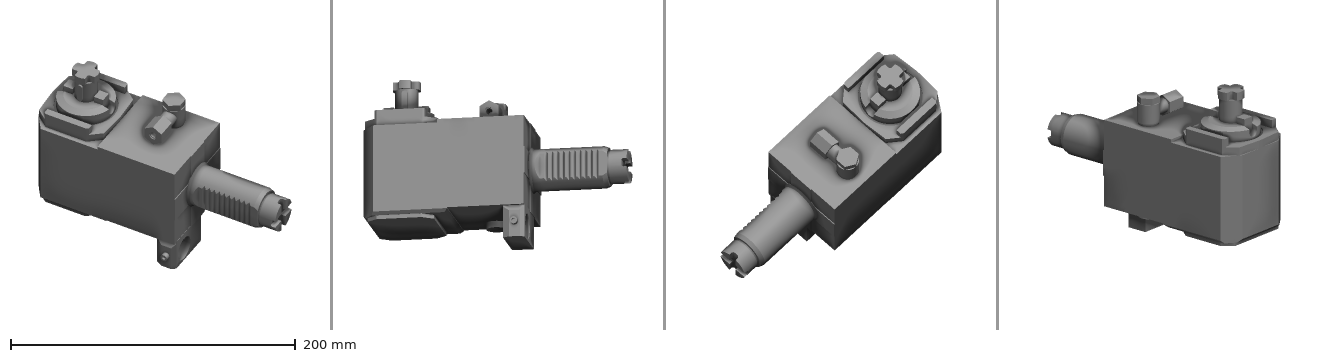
import cadquery as cq
import math


OVERALL_LENGTH = 186.5
BODY_LEFT = -27.5
BODY_RIGHT = 89.5
BODY_HALF_WIDTH = 32.5
BODY_TOP = 32.3
BODY_BOTTOM = -BODY_TOP
NOSE_HALF_WIDTH = 19.5
CORNER_LENGTH = 9.1
HEAD_SEAT_Z = 29.8
FLANGE_X = 90.0
FLANGE_CROSS_WIDTH = 19.2
FOOT_RIGHT = 34.7
FOOT_BOTTOM = -35.0
FOOT_CHAMFER = 2.2

BASE_HALF_LENGTH = 23.9
BASE_HALF_WIDTH = 30.0
BASE_CORNER_X = 16.0
BASE_CORNER_Y = 23.9
BASE_BOTTOM = -37.9

COVER_TOP = 35.8
COVER_CREST_X = 27.5
COVER_CREST_HALF_WIDTH = 1.9
COVER_SIDE_X = 26.1
COVER_SIDE_Y = 21.0
COVER_END_X = 16.5
COVER_HALF_WIDTH = 29.0
BAR_HALF_LENGTH = 17.9
BAR_INNER_Y = 23.5
BAR_TOP = 41.8

CLEARANCE_RADIUS = 22.8
CLEARANCE_DEPTH = 1.0
NUT_RADIUS = 21.0
NUT_FLAT_Y = 19.0
NUT_LIP_BOTTOM = 42.3
NUT_LIP_TOP = 43.0
NUT_CONE_RADIUS = 15.9
NUT_TOP = 44.8
KEY_WIDTH = 8.2
KEY_INNER_X = 8.5
KEY_OUTER_X = 16.0
KEY_TOP = 49.6
KEY_BOTTOM = 36.7

SPINDLE_RADIUS = 8.2
CROSS_BOTTOM = 62.0
SPINDLE_TOP = 67.9
CROSS_RADIUS = 9.9
CROSS_ARM_WIDTH = 8.2
CROSS_FILLET = 1.3
FEATHER_WIDTH = 4.0
FEATHER_BOTTOM = 45.7
FEATHER_TOP = 60.2
FEATHER_Y = -9.5

SHANK_RADIUS = 15.0
SHANK_END = 145.1
SHANK_CHAMFER_LENGTH = 3.2
SHANK_CHAMFER_HEIGHT = 1.1
COLLAR_RADIUS = 16.5
COLLAR_LENGTH = 1.5
FLAT_Y = -12.0
FLAT_START = 97.0
GROOVE_COUNT = 10
GROOVE_DEPTH = 1.5
FIRST_GROOVE_X = 101.6
LAST_GROOVE_X = 137.6
GROOVE_PITCH = (LAST_GROOVE_X - FIRST_GROOVE_X) / (GROOVE_COUNT - 1)

NECK_RADIUS = 11.5
COUPLING_START = 146.4
COUPLING_END = BODY_LEFT + OVERALL_LENGTH
COUPLING_RADIUS = 12.1
COUPLING_SLOT_WIDTH = 6.0
COUPLING_SLOT_DEPTH = 3.5
COUPLING_SLOT_CHAMFER = 1.0

ELBOW_X = 61.0
ELBOW_Y = 17.5
ELBOW_RADIUS = 8.0
ELBOW_BOTTOM = 34.1
ELBOW_TOP = 48.5
ELBOW_FOOT_RADIUS = 7.3
BOLT_FLATS = 14.2
BOLT_TOP = 53.2
PLUG_BOTTOM = -37.0
ARM_Z = 41.5
ARM_RADIUS = 5.6
ARM_NUT_FLATS = 13.6
ARM_NUT_START_Y = 2.2
ARM_NUT_END_Y = -12.5
ARM_BORE_RADIUS = 2.2
ARM_MOUTH_RADIUS = 3.0
ARM_MOUTH_DEPTH = 0.7
ARM_BORE_DEPTH = 11.2

BRACKET_LEFT = 74.2
BRACKET_RIGHT = 89.7
BRACKET_INNER_Y = 5.5
BRACKET_BOTTOM = -55.5
BRACKET_BEVEL_DEPTH = 2.5
BRACKET_FACE_LEFT = 78.9
BRACKET_FACE_RIGHT = 87.0
BRACKET_FACE_TOP = -36.5
BRACKET_BEVEL_TOP = -33.0
BRACKET_HOLE_Y = -18.8
BRACKET_HOLE_Z = -45.1
BRACKET_HOLE_RADIUS = 9.0
SCREW_X = 82.8
SCREW_Z = -44.5
SCREW_RADIUS = 2.6
SCREW_END_Y = -36.0
SCREW_TIP = 1.7
SCREW_SOCKET_RADIUS = 1.3
SCREW_SOCKET_DEPTH = 1.5

OVERLAP = 1.0


def block(x_range, y_range, z_range):
    """Box between two limits on each axis."""
    (x0, x1), (y0, y1), (z0, z1) = x_range, y_range, z_range
    return cq.Workplane("XY").box(x1 - x0, y1 - y0, z1 - z0, centered=False).translate((x0, y0, z0))


def post(radius, bottom, top, x=0.0, y=0.0):
    """Upright cylinder between two heights."""
    return cq.Workplane("XY", origin=(x, y, bottom)).circle(radius).extrude(top - bottom)


def rod_along_y(radius, x, z, y_start, y_end):
    """Cylinder along Y between two places."""
    return cq.Workplane("XZ", origin=(x, y_start, z)).circle(radius).extrude(y_start - y_end)


def prism(points, bottom, top):
    """Upright prism over a closed outline."""
    return cq.Workplane("XY", origin=(0, 0, bottom)).polyline(points).close().extrude(top - bottom)


def mirrored_outline(quarter):
    """Closed outline from its first-quadrant points, listed counter-clockwise."""
    right_half = [(x, -y) for x, y in reversed(quarter)] + quarter
    return right_half + [(-x, -y) for x, y in right_half]


def make_body():
    corner_x = BODY_LEFT + CORNER_LENGTH
    outline = [
        (BODY_LEFT, -NOSE_HALF_WIDTH),
        (corner_x, -BODY_HALF_WIDTH),
        (FOOT_RIGHT, -BODY_HALF_WIDTH),
        (FOOT_RIGHT, BODY_HALF_WIDTH),
        (corner_x, BODY_HALF_WIDTH),
        (BODY_LEFT, NOSE_HALF_WIDTH),
    ]
    foot = prism(outline, FOOT_BOTTOM, HEAD_SEAT_Z)
    foot = foot.faces("<Z").edges("|X or |Y").chamfer(FOOT_CHAMFER)
    rear = block((COVER_CREST_X, BODY_RIGHT), (-BODY_HALF_WIDTH, BODY_HALF_WIDTH), (BODY_BOTTOM, BODY_TOP))
    base_corners = [(BASE_HALF_LENGTH, BASE_CORNER_Y), (BASE_CORNER_X, BASE_HALF_WIDTH)]
    base = prism(mirrored_outline(base_corners), BASE_BOTTOM, FOOT_BOTTOM + OVERLAP)
    body = rear.union(foot).union(base)

    half_band = FLANGE_CROSS_WIDTH / 2
    band_x = (BODY_RIGHT - OVERLAP, FLANGE_X)
    body = body.union(block(band_x, (-half_band, half_band), (BODY_BOTTOM, BODY_TOP)))
    return body.union(block(band_x, (-BODY_HALF_WIDTH, BODY_HALF_WIDTH), (-half_band, half_band)))


def make_cover():
    corners = [
        (COVER_CREST_X, COVER_CREST_HALF_WIDTH),
        (COVER_SIDE_X, COVER_SIDE_Y),
        (COVER_END_X, COVER_HALF_WIDTH),
    ]
    outline = mirrored_outline(corners)
    plate = prism(outline, HEAD_SEAT_Z - OVERLAP, COVER_TOP)
    plate = plate.cut(post(CLEARANCE_RADIUS, COVER_TOP - CLEARANCE_DEPTH, COVER_TOP))
    envelope = prism(outline, HEAD_SEAT_Z, BAR_TOP)
    for y_range in ((-COVER_HALF_WIDTH, -BAR_INNER_Y), (BAR_INNER_Y, COVER_HALF_WIDTH)):
        bar = block((-BAR_HALF_LENGTH, BAR_HALF_LENGTH), y_range, (HEAD_SEAT_Z, BAR_TOP))
        plate = plate.union(bar.intersect(envelope))
    return plate


def key_bar(half_length):
    """Bar along X with a rounded underside, centred on the spindle axis."""
    half_key = KEY_WIDTH / 2
    round_center = KEY_BOTTOM + half_key
    return (
        cq.Workplane("YZ")
        .moveTo(-half_key, KEY_TOP)
        .lineTo(-half_key, round_center)
        .threePointArc((0, KEY_BOTTOM), (half_key, round_center))
        .lineTo(half_key, KEY_TOP)
        .close()
        .extrude(half_length, both=True)
    )


def make_nut():
    nut_bottom = COVER_TOP - CLEARANCE_DEPTH - OVERLAP
    profile = [
        (0, nut_bottom),
        (NUT_RADIUS, nut_bottom),
        (NUT_RADIUS, NUT_LIP_TOP),
        (NUT_CONE_RADIUS, NUT_TOP),
        (0, NUT_TOP),
    ]
    nut = cq.Workplane("XZ").polyline(profile).close().revolve(360, (0, 0), (0, 1))
    for y_range in ((-NUT_RADIUS, -NUT_FLAT_Y), (NUT_FLAT_Y, NUT_RADIUS)):
        side = block((-NUT_RADIUS, NUT_RADIUS), y_range, (COVER_TOP - CLEARANCE_DEPTH, NUT_LIP_BOTTOM))
        nut = nut.cut(side)

    nut = nut.cut(key_bar(NUT_RADIUS))
    gap = block((-KEY_INNER_X, KEY_INNER_X), (-KEY_WIDTH, KEY_WIDTH), (NUT_TOP, KEY_TOP))
    return nut.union(key_bar(KEY_OUTER_X).cut(gap))


def make_spindle():
    shaft = post(SPINDLE_RADIUS, NUT_TOP - OVERLAP, CROSS_BOTTOM)
    half_arm = CROSS_ARM_WIDTH / 2
    arms = block((-CROSS_RADIUS, CROSS_RADIUS), (-half_arm, half_arm), (CROSS_BOTTOM, SPINDLE_TOP))
    arms = arms.union(arms.rotate((0, 0, 0), (0, 0, 1), 90))
    inner_edges = cq.selectors.BoxSelector(
        (-CROSS_ARM_WIDTH, -CROSS_ARM_WIDTH, CROSS_BOTTOM), (CROSS_ARM_WIDTH, CROSS_ARM_WIDTH, SPINDLE_TOP)
    )
    arms = arms.edges("|Z").edges(inner_edges).fillet(CROSS_FILLET)
    cross = arms.intersect(post(CROSS_RADIUS, CROSS_BOTTOM, SPINDLE_TOP))
    feather = (
        cq.Workplane("XZ", origin=(0, 0, (FEATHER_BOTTOM + FEATHER_TOP) / 2))
        .slot2D(FEATHER_TOP - FEATHER_BOTTOM, FEATHER_WIDTH, 90)
        .extrude(-FEATHER_Y)
    )
    return shaft.union(cross).union(feather)


def make_shank():
    profile = [
        (BODY_RIGHT - OVERLAP, 0),
        (BODY_RIGHT - OVERLAP, COLLAR_RADIUS),
        (FLANGE_X, COLLAR_RADIUS),
        (FLANGE_X + COLLAR_LENGTH, SHANK_RADIUS),
        (SHANK_END - SHANK_CHAMFER_LENGTH, SHANK_RADIUS),
        (SHANK_END, SHANK_RADIUS - SHANK_CHAMFER_HEIGHT),
        (SHANK_END, NECK_RADIUS),
        (COUPLING_START, NECK_RADIUS),
        (COUPLING_START, COUPLING_RADIUS),
        (COUPLING_END, COUPLING_RADIUS),
        (COUPLING_END, 0),
    ]
    shank = cq.Workplane("XY").polyline(profile).close().revolve(360, (0, 0), (1, 0))

    cut_y = -2 * SHANK_RADIUS
    side = [(FLAT_START - (FLAT_Y - cut_y), cut_y), (FLAT_START, FLAT_Y)]
    for index in range(GROOVE_COUNT):
        groove_x = FIRST_GROOVE_X + index * GROOVE_PITCH
        side.append((groove_x - GROOVE_DEPTH, FLAT_Y))
        side.append((groove_x, FLAT_Y + GROOVE_DEPTH))
        side.append((groove_x + GROOVE_DEPTH, FLAT_Y))
    side += [(SHANK_END, FLAT_Y), (SHANK_END, cut_y)]
    flat = cq.Workplane("XY").polyline(side).close().extrude(SHANK_RADIUS, both=True)
    shank = shank.cut(flat)

    slot = (
        cq.Workplane("XY")
        .box(2 * COUPLING_SLOT_DEPTH, COUPLING_SLOT_WIDTH, 2 * COUPLING_RADIUS)
        .edges("<X and |Z")
        .chamfer(COUPLING_SLOT_CHAMFER)
        .translate((COUPLING_END, 0, 0))
    )
    return shank.cut(slot).cut(slot.rotate((0, 0, 0), (1, 0, 0), 90))


def make_elbow():
    elbow = post(ELBOW_FOOT_RADIUS, BODY_TOP - OVERLAP, ELBOW_TOP, ELBOW_X, ELBOW_Y)
    elbow = elbow.union(post(ELBOW_RADIUS, ELBOW_BOTTOM, ELBOW_TOP, ELBOW_X, ELBOW_Y))
    bolt_head = (
        cq.Workplane("XY")
        .polygon(6, BOLT_FLATS / math.cos(math.pi / 6))
        .extrude(BOLT_TOP - ELBOW_TOP)
        .rotate((0, 0, 0), (0, 0, 1), 90)
        .translate((ELBOW_X, ELBOW_Y, ELBOW_TOP))
    )
    elbow = elbow.union(bolt_head)
    elbow = elbow.union(rod_along_y(ARM_RADIUS, ELBOW_X, ARM_Z, ELBOW_Y, ARM_NUT_START_Y))
    nut = (
        cq.Workplane("XZ")
        .polygon(6, ARM_NUT_FLATS / math.cos(math.pi / 6))
        .extrude(ARM_NUT_START_Y - ARM_NUT_END_Y)
        .rotate((0, 0, 0), (0, 1, 0), 90)
        .translate((ELBOW_X, ARM_NUT_START_Y, ARM_Z))
    )
    elbow = elbow.union(nut)
    mouth_y = ARM_NUT_END_Y + ARM_MOUTH_DEPTH
    bore_y = ARM_NUT_END_Y + ARM_BORE_DEPTH
    elbow = elbow.cut(rod_along_y(ARM_MOUTH_RADIUS, ELBOW_X, ARM_Z, mouth_y, ARM_NUT_END_Y))
    return elbow.cut(rod_along_y(ARM_BORE_RADIUS, ELBOW_X, ARM_Z, bore_y, ARM_NUT_END_Y))


def make_bracket():
    bevel_y = -BODY_HALF_WIDTH + BRACKET_BEVEL_DEPTH
    bracket_top = BODY_BOTTOM + OVERLAP
    bracket = block((BRACKET_LEFT, BRACKET_RIGHT), (bevel_y, BRACKET_INNER_Y), (BRACKET_BOTTOM, bracket_top))

    plan = [
        (BRACKET_LEFT, bevel_y),
        (BRACKET_FACE_LEFT, -BODY_HALF_WIDTH),
        (BRACKET_FACE_RIGHT, -BODY_HALF_WIDTH),
        (BRACKET_RIGHT, bevel_y),
    ]
    section = [
        (bevel_y, BRACKET_BEVEL_TOP),
        (-BODY_HALF_WIDTH, BRACKET_FACE_TOP),
        (-BODY_HALF_WIDTH, BRACKET_BOTTOM),
        (bevel_y, BRACKET_BOTTOM),
    ]
    bevel = prism(plan, BRACKET_BOTTOM, BRACKET_BEVEL_TOP)
    bevel = bevel.intersect(cq.Workplane("YZ").polyline(section).close().extrude(BRACKET_RIGHT))
    bracket = bracket.union(bevel)

    hole_start = cq.Workplane("YZ", origin=(BRACKET_LEFT, BRACKET_HOLE_Y, BRACKET_HOLE_Z))
    hole = hole_start.circle(BRACKET_HOLE_RADIUS).extrude(BRACKET_RIGHT - BRACKET_LEFT)
    bracket = bracket.cut(hole)

    front_tip = BRACKET_HOLE_Y - BRACKET_HOLE_RADIUS + SCREW_TIP
    rear_tip = BRACKET_HOLE_Y + BRACKET_HOLE_RADIUS - SCREW_TIP
    bracket = bracket.union(rod_along_y(SCREW_RADIUS, SCREW_X, SCREW_Z, front_tip, SCREW_END_Y))
    bracket = bracket.union(rod_along_y(SCREW_RADIUS, SCREW_X, SCREW_Z, BRACKET_INNER_Y, rear_tip))
    socket_y = SCREW_END_Y + SCREW_SOCKET_DEPTH
    return bracket.cut(rod_along_y(SCREW_SOCKET_RADIUS, SCREW_X, SCREW_Z, socket_y, SCREW_END_Y))


result = (
    make_body()
    .union(make_cover())
    .union(make_nut())
    .union(make_spindle())
    .union(make_shank())
    .union(make_elbow())
    .union(post(ELBOW_FOOT_RADIUS, PLUG_BOTTOM, BODY_BOTTOM + OVERLAP, ELBOW_X, ELBOW_Y))
    .union(make_bracket())
)